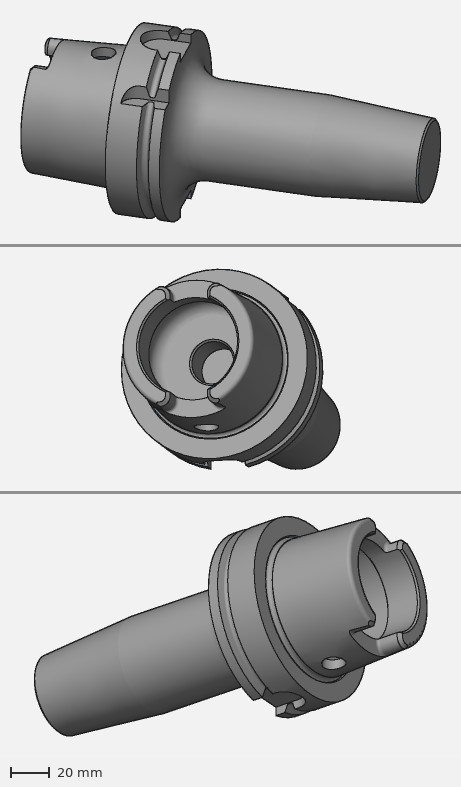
import cadquery as cq
import math


HALF_TURN = 180.0
FULL_TURN = 360.0
DIAGONAL = math.sqrt(0.5)

shank_length = 50.0
shank_gauge_radius = 37.65
taper_slope = 1 / 20
shank_rim_radius = 2.0
relief_start = 2.7
relief_radius = 37.1
relief_fillet = 2.0
relief_undercut = 0.8
relief_outer_radius = 39.7

flange_radius = 50.0
flange_width = 29.0
groove_center = 20.0
groove_floor_radius = 45.6
groove_floor_width = 2.7
groove_wall_angle = 23.0
groove_fillet = 1.2

neck_radius = 26.5
neck_fillet = 16.0
nose_end = 160.0
nose_end_radius = 22.0
nose_taper_angle = 4.5
nose_chamfer = 1.0

mouth_radius = 26.5
mouth_chamfer = 1.0
clamp_edge_depth = 19.6
clamp_groove_radius = 31.5
clamp_angle = 60.0
cavity_depth = 46.0
cavity_floor_fillet = 6.4
thread_radius = 11.2
thread_chamfer = 1.0
thread_depth = 20.0

cross_hole_radius = 6.3
cross_hole_x = -15.0

keyway_half_width = 10.0
keyway_flare_radius = 5.0
keyway_top = 31.7
keyway_depth_upper = 9.5
keyway_depth_lower = 14.3
keyway_floor_fillet = 1.5
keyway_mouth_chamfer = 2.0

slot_half_width = 10.0
slot_start = 5.2
slot_floor_height = 44.0
notch_offset = 31.4
notch_end_radius = 8.0

selection_margin = 0.1
clearance = 1.0


def turned_body():
    """Outer shape of shank, flange, neck and nose, revolved about X."""
    relief_shoulder_radius = shank_gauge_radius - relief_start * taper_slope
    relief_floor_start = relief_start - (relief_shoulder_radius - relief_radius)
    shank_end_radius = shank_gauge_radius - shank_length * taper_slope
    wall_slope = math.tan(math.radians(groove_wall_angle))
    half_floor = groove_floor_width / 2
    half_mouth = half_floor + (flange_radius - groove_floor_radius) * wall_slope
    neck_start = flange_width + neck_fillet
    neck_arc_top = neck_radius + neck_fillet
    arc_middle = neck_fillet * (1 - DIAGONAL)
    nose_taper_length = (neck_radius - nose_end_radius) / math.tan(math.radians(nose_taper_angle))
    relief_fillet_start = relief_undercut - relief_fillet
    relief_arc_offset = relief_fillet * (1 - DIAGONAL)
    body = (
        cq.Workplane("XY")
        .moveTo(-shank_length, 0)
        .lineTo(-shank_length, shank_end_radius)
        .lineTo(-relief_start, relief_shoulder_radius)
        .lineTo(-relief_floor_start, relief_radius)
        .lineTo(relief_fillet_start, relief_radius)
        .threePointArc(
            (relief_undercut - relief_arc_offset, relief_radius + relief_arc_offset),
            (relief_undercut, relief_radius + relief_fillet),
        )
        .lineTo(0, relief_outer_radius)
        .lineTo(0, flange_radius)
        .lineTo(groove_center - half_mouth, flange_radius)
        .lineTo(groove_center - half_floor, groove_floor_radius)
        .lineTo(groove_center + half_floor, groove_floor_radius)
        .lineTo(groove_center + half_mouth, flange_radius)
        .lineTo(flange_width, flange_radius)
        .lineTo(flange_width, neck_arc_top)
        .threePointArc(
            (flange_width + arc_middle, neck_radius + arc_middle),
            (neck_start, neck_radius),
        )
        .lineTo(nose_end - nose_taper_length, neck_radius)
        .lineTo(nose_end, nose_end_radius)
        .lineTo(nose_end, 0)
        .close()
        .revolve(FULL_TURN, (0, 0, 0), (1, 0, 0))
    )
    box_x = half_floor + selection_margin
    box_r = groove_floor_radius + selection_margin
    groove_floor_edges = cq.selectors.BoxSelector(
        (groove_center - box_x, -box_r, -box_r),
        (groove_center + box_x, box_r, box_r),
        boundingbox=True,
    )
    body = body.edges("%CIRCLE").edges(groove_floor_edges).fillet(groove_fillet)
    body = body.faces("<X").edges().fillet(shank_rim_radius)
    return body.faces(">X").edges().chamfer(nose_chamfer)


def cavity():
    """Bore, undercut clamping groove and blind thread hole, as one turned cutter."""
    mouth_x = -shank_length
    clamp_edge_x = mouth_x + clamp_edge_depth
    clamp_length = (clamp_groove_radius - mouth_radius) / math.tan(math.radians(clamp_angle))
    floor_x = mouth_x + cavity_depth
    fillet_middle = cavity_floor_fillet * (1 - DIAGONAL)
    return (
        cq.Workplane("XY")
        .moveTo(mouth_x, 0)
        .lineTo(mouth_x, mouth_radius + mouth_chamfer)
        .lineTo(mouth_x + mouth_chamfer, mouth_radius)
        .lineTo(clamp_edge_x, mouth_radius)
        .lineTo(clamp_edge_x + clamp_length, clamp_groove_radius)
        .lineTo(floor_x - cavity_floor_fillet, clamp_groove_radius)
        .threePointArc(
            (floor_x - fillet_middle, clamp_groove_radius - fillet_middle),
            (floor_x, clamp_groove_radius - cavity_floor_fillet),
        )
        .lineTo(floor_x, thread_radius + thread_chamfer)
        .lineTo(floor_x + thread_chamfer, thread_radius)
        .lineTo(floor_x + thread_depth, thread_radius)
        .lineTo(floor_x + thread_depth, 0)
        .close()
        .revolve(FULL_TURN, (0, 0, 0), (1, 0, 0))
    )


def cross_hole():
    """Round hole right through both walls of the shank, along Z."""
    length = 2 * flange_radius
    return (
        cq.Workplane("XY", origin=(cross_hole_x, 0, -flange_radius))
        .circle(cross_hole_radius)
        .extrude(length)
    )


def keyway_wire(x, widening):
    """Flared keyway section in the YZ plane at x, with its sides moved outward by widening."""
    wall = keyway_half_width + widening
    radius = keyway_flare_radius - widening
    top = keyway_top - widening
    flare_center_y = keyway_half_width + keyway_flare_radius
    flare_center_z = keyway_top - keyway_flare_radius
    arc_y = flare_center_y - radius * DIAGONAL
    arc_z = flare_center_z + radius * DIAGONAL
    return (
        cq.Workplane("YZ", origin=(x, 0, 0))
        .moveTo(-wall, 0)
        .lineTo(wall, 0)
        .lineTo(wall, flare_center_z)
        .threePointArc((arc_y, arc_z), (flare_center_y, top))
        .lineTo(flange_radius, top)
        .lineTo(flange_radius, flange_radius)
        .lineTo(-flange_radius, flange_radius)
        .lineTo(-flange_radius, top)
        .lineTo(-flare_center_y, top)
        .threePointArc((-arc_y, arc_z), (-wall, flare_center_z))
        .close()
    )


def keyway(depth):
    """Keyway cutter opening toward +Z, with a rounded floor and a bevelled mouth."""
    slot = keyway_wire(-shank_length, 0).extrude(depth)
    slot = slot.faces(">X").edges().fillet(keyway_floor_fillet)
    mouth = cq.Solid.makeLoft(
        [
            keyway_wire(-shank_length, keyway_mouth_chamfer).val(),
            keyway_wire(-shank_length + keyway_mouth_chamfer, 0).val(),
        ],
        True,
    )
    return slot.union(cq.Workplane(mouth))


def gripper_slot():
    """Round-ended flat slot in the top of the flange, open toward the nose."""
    end_center_x = slot_start + slot_half_width
    straight_length = flange_width + clearance - end_center_x
    height = flange_radius + clearance - slot_floor_height
    floor = cq.Workplane("XY", origin=(end_center_x, 0, slot_floor_height))
    round_end = floor.circle(slot_half_width).extrude(height)
    straight = floor.center(straight_length / 2, 0).rect(straight_length, 2 * slot_half_width).extrude(height)
    return round_end.union(straight)


def orientation_notch():
    """Corner notch on the -Y, +Z side of the flange, with a level floor and an upright wall."""
    reach = flange_radius - notch_offset
    end_center_x = slot_start + notch_end_radius
    return (
        cq.Workplane("XY", origin=(0, -notch_offset, notch_offset))
        .moveTo(slot_start, -reach)
        .lineTo(slot_start, -notch_end_radius)
        .radiusArc((end_center_x, 0), notch_end_radius)
        .lineTo(flange_width + clearance, 0)
        .lineTo(flange_width + clearance, -reach)
        .close()
        .extrude(reach)
    )


def half_turn(cutter):
    """The cutter moved to the opposite side of the part."""
    return cutter.rotate((0, 0, 0), (1, 0, 0), HALF_TURN)


result = turned_body().cut(cavity()).cut(cross_hole())
result = result.cut(keyway(keyway_depth_upper))
result = result.cut(half_turn(keyway(keyway_depth_lower)))
result = result.cut(gripper_slot())
result = result.cut(half_turn(gripper_slot()))
result = result.cut(orientation_notch())